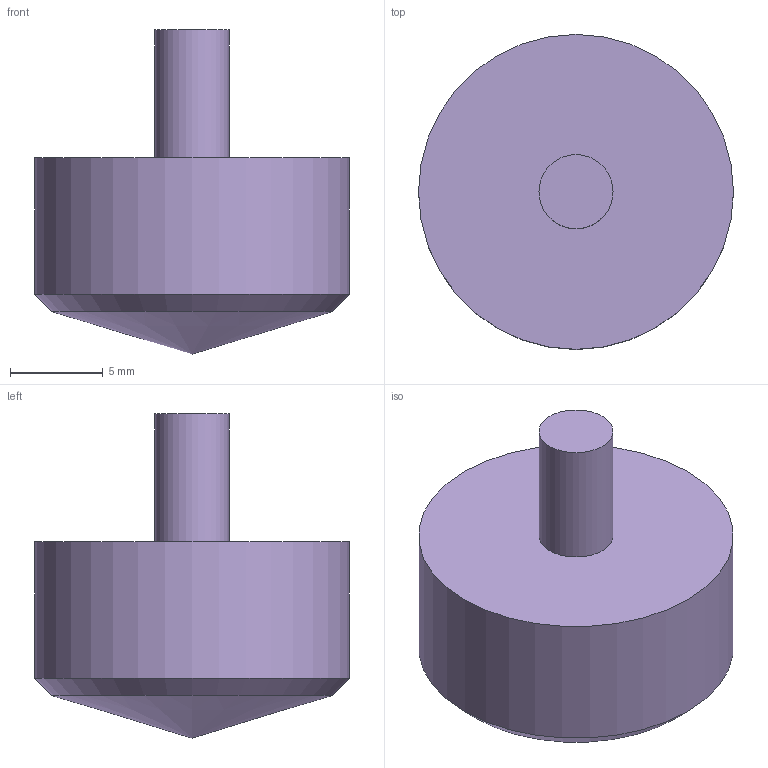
import cadquery as cq

overall_height = 17.5
body_diameter = 17.0
stem_diameter = 4.0
stem_length = 6.9
chamfer_size = 0.92
cone_height = 2.3

body_radius = body_diameter / 2
stem_radius = stem_diameter / 2
cone_radius = body_radius - chamfer_size
chamfer_top = cone_height + chamfer_size
body_top = overall_height - stem_length


def make_pointed_body():
    """Round body with a chamfered lower rim and a shallow conical underside."""
    half_profile = (
        cq.Workplane("XZ")
        .moveTo(0, 0)
        .lineTo(cone_radius, cone_height)
        .lineTo(body_radius, chamfer_top)
        .lineTo(body_radius, body_top)
        .lineTo(0, body_top)
        .close()
    )
    return half_profile.revolve(360, (0, 0, 0), (0, 1, 0))


def make_stem():
    """Plain cylindrical stem standing on the flat top of the body."""
    return cq.Workplane("XY").workplane(offset=body_top).circle(stem_radius).extrude(stem_length)


result = make_pointed_body().union(make_stem())